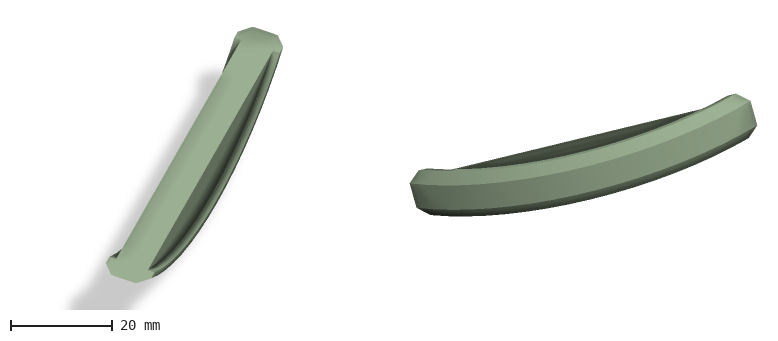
import cadquery as cq
import math

length = 69.4
height = 13.9
thickness = 9.8
rim_flat = 5.35
bevel_drop = 1.6
lip_width = 1.1
recess_depth = 1.45

outer_radius = ((length / 2) ** 2 + height ** 2) / (2 * height)
axis_height = outer_radius - height
side_radius = outer_radius - bevel_drop
recess_radius = side_radius - lip_width
half_thickness = thickness / 2


def segment(radius, width, start_x):
    """Circular segment below Z = 0, extruded along +X from start_x."""
    half_chord = math.sqrt(radius ** 2 - axis_height ** 2)
    return (
        cq.Workplane("YZ", origin=(start_x, 0, 0))
        .moveTo(-half_chord, 0)
        .threePointArc((0, axis_height - radius), (half_chord, 0))
        .close()
        .extrude(width)
    )


bevelled_disc = (
    cq.Workplane("XZ")
    .polyline([
        (-half_thickness, axis_height),
        (-half_thickness, axis_height - side_radius),
        (-rim_flat / 2, -height),
        (rim_flat / 2, -height),
        (half_thickness, axis_height - side_radius),
        (half_thickness, axis_height),
    ])
    .close()
    .revolve(360, (0, axis_height, 0), (1, axis_height, 0))
)

body = bevelled_disc.intersect(segment(outer_radius, thickness, -half_thickness))

for start_x in (-half_thickness, half_thickness - recess_depth):
    body = body.cut(segment(recess_radius, recess_depth, start_x))

result = body